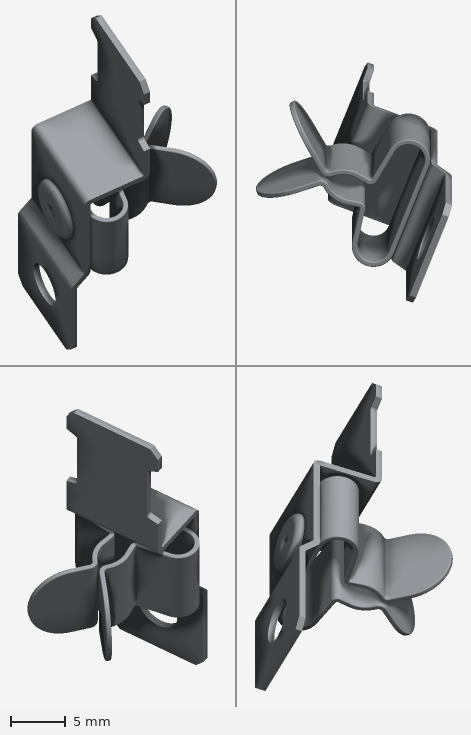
import cadquery as cq
import math


BRACKET_WIDTH = 10.0
BRACKET_THICKNESS = 0.65
BRACKET_TOP = 19.9
BRACKET_BOTTOM = -15.5
FOOT_OFFSET = 1.4
STEP_TOP = -4.07
STEP_OUTER_RADIUS = 0.9
WEB_FRONT_HEIGHT = 6.62
WEB_TILT = 1.0
TAB_BACK = 6.83
SHARP_BEND_INSIDE = 0.05
TAB_BEND_INSIDE = 0.18
CORNER_CHAMFER_X = 0.85
CORNER_CHAMFER_Z = 0.95
NECK_WIDTH = 7.6
NECK_TOP = 16.85
HEAD_UNDERSIDE = 17.35
NECK_BOTTOM = 10.73
SHOULDER_TOP = 10.4
NECK_FILLET = 0.3
FOOT_HOLE_DIAMETER = 4.2
FOOT_HOLE_Z = -10.48

CLIP_HEIGHT = 8.0
CLIP_THICKNESS = 0.5
CLIP_SPAN = 12.78
LOOP_OUTER_RADIUS = 2.0
LEG_TILT = 9.0
LEG_SHOULDER = (1.55, 7.68)
LEG_WAIST = (0.3, 9.1)
LEG_TIP_Y = 14.05
FLARE_ANGLE = 40.0
LEG_FOOT_INSIDE = 0.15
LEG_SHOULDER_OUTSIDE = 3.0
LEG_WAIST_INSIDE = 0.4
CLIP_EDGE_FILLET = 0.125
TRIM_MARGIN = 0.7

HEAD_RADIUS = 2.97
HEAD_HEIGHT = 0.75
SHANK_RADIUS = 1.5
SHANK_LENGTH = BRACKET_THICKNESS + CLIP_THICKNESS
DIMPLE_RADIUS = 1.0


def bend_stations(corners, radii):
    """Points and left normals along a path: start, then begin, middle and end of each bend, then finish."""
    points = [cq.Vector(x, y) for x, y in corners]
    directions = [(b - a).normalized() for a, b in zip(points, points[1:])]
    normals = [cq.Vector(-d.y, d.x) for d in directions]
    bends = []
    for i, radius in enumerate(radii):
        corner = points[i + 1]
        before, after = directions[i], directions[i + 1]
        side = math.copysign(1, before.x * after.y - before.y * after.x)
        setback = radius * math.tan(before.getAngle(after) / 2)
        begin = corner - before * setback
        end = corner + after * setback
        middle_normal = (normals[i] + normals[i + 1]).normalized()
        center = begin + normals[i] * (side * radius)
        middle = center - middle_normal * (side * radius)
        bends.append([(begin, normals[i]), (middle, middle_normal), (end, normals[i + 1])])
    return [(points[0], normals[0])], bends, [(points[-1], normals[-1])]


def bent_strip(plane, corners, radii, thickness, width):
    """Strip of constant thickness whose centre line follows the corners, each rounded to its radius."""
    start, bends, finish = bend_stations(corners, radii)

    def offset(stations, distance):
        return [point + normal * distance for point, normal in stations]

    def line_to(sketch, target, last):
        return sketch.lineTo(target.x, target.y) if (target - last).Length > 3.54e-07 else sketch

    half = thickness / 2
    last = offset(start, half)[0]
    sketch = cq.Workplane(plane).moveTo(last.x, last.y)
    sides = ((half, bends, finish), (-half, [bend[::-1] for bend in reversed(bends)], start))
    for distance, ordered_bends, end_station in sides:
        for bend in ordered_bends:
            begin, middle, end = offset(bend, distance)
            sketch = line_to(sketch, begin, last)
            sketch = sketch.threePointArc((middle.x, middle.y), (end.x, end.y))
            last = end
        side_end = offset(end_station, distance)[0]
        sketch = line_to(sketch, side_end, last)
        opposite = offset(end_station, -distance)[0]
        if end_station is finish:
            sketch = sketch.lineTo(opposite.x, opposite.y)
            last = opposite
    return sketch.close().extrude(width / 2, both=True)


def bracket_profile():
    half = BRACKET_THICKNESS / 2
    miter = half * math.tan(math.radians(45 / 2))
    tab_y = TAB_BACK - half
    web_slope = math.tan(math.radians(WEB_TILT))
    web_z = WEB_FRONT_HEIGHT - half
    corners = [
        (half - FOOT_OFFSET, BRACKET_BOTTOM),
        (half - FOOT_OFFSET, STEP_TOP - FOOT_OFFSET - miter),
        (half, STEP_TOP - miter),
        (half, web_z + half * web_slope),
        (tab_y, web_z + tab_y * web_slope),
        (tab_y, BRACKET_TOP),
    ]
    radii = [
        STEP_OUTER_RADIUS - half,
        STEP_OUTER_RADIUS - half,
        SHARP_BEND_INSIDE + half,
        TAB_BEND_INSIDE + half,
    ]
    return bent_strip("YZ", corners, radii, BRACKET_THICKNESS, BRACKET_WIDTH)


def bracket_outline():
    edge = BRACKET_WIDTH / 2
    neck = NECK_WIDTH / 2
    right_side = [
        (edge - CORNER_CHAMFER_X, BRACKET_BOTTOM),
        (edge, BRACKET_BOTTOM + CORNER_CHAMFER_Z),
        (edge, SHOULDER_TOP),
        (neck, NECK_BOTTOM),
        (neck, NECK_TOP),
        (edge, HEAD_UNDERSIDE),
        (edge, BRACKET_TOP - CORNER_CHAMFER_Z),
        (edge - CORNER_CHAMFER_X, BRACKET_TOP),
    ]
    left_side = [(-x, z) for x, z in reversed(right_side)]
    blank = cq.Workplane("XZ").polyline(right_side + left_side).close().extrude(2 * TAB_BACK, both=True)
    neck_box = cq.selectors.BoxSelector(
        (-neck - 0.05, -TAB_BACK, NECK_BOTTOM - 0.05), (neck + 0.05, TAB_BACK, NECK_TOP + 0.05)
    )
    return blank.edges("|Y").edges(neck_box).fillet(NECK_FILLET)


def foot_hole():
    return (
        cq.Workplane("XZ", origin=(0, 0, FOOT_HOLE_Z))
        .circle(FOOT_HOLE_DIAMETER / 2)
        .extrude(2 * FOOT_OFFSET)
    )


def rivet_hole():
    """Hole for the shank through the bracket plate and the clip base."""
    return cq.Workplane("XZ").circle(SHANK_RADIUS).extrude(-SHANK_LENGTH)


def make_bracket():
    bracket = bracket_profile().intersect(bracket_outline())
    bracket = bracket.cut(foot_hole())
    return bracket.cut(rivet_hole())


def tip_trim(tip_x):
    """Cutter that leaves a half-round end, as wide as the clip, on one flared leg."""
    radius = CLIP_HEIGHT / 2
    angle = math.radians(FLARE_ANGLE)
    along = cq.Vector(math.sin(angle), math.cos(angle), 0)
    across = cq.Vector(math.cos(angle), -math.sin(angle), 0)
    center = cq.Vector(tip_x, LEG_TIP_Y, 0) - along * radius
    outer = radius + TRIM_MARGIN
    return (
        cq.Workplane(cq.Plane(center, along, across))
        .moveTo(0, radius)
        .threePointArc((radius, 0), (0, -radius))
        .lineTo(0, -outer)
        .lineTo(outer, -outer)
        .lineTo(outer, outer)
        .lineTo(0, outer)
        .close()
        .extrude(CLIP_THICKNESS, both=True)
    )


def leg_foot(loop_back, tilt):
    """Right-angled corner between the strip from the loop and the leg down from the shoulder."""
    along_leg = cq.Vector(math.sin(tilt), math.cos(tilt))
    shoulder = cq.Vector(*LEG_SHOULDER)
    foot = shoulder + along_leg * (cq.Vector(*loop_back) - shoulder).dot(along_leg)
    return foot.x, foot.y


def make_clip():
    half = CLIP_THICKNESS / 2
    loop_radius = LOOP_OUTER_RADIUS - half
    base_y = BRACKET_THICKNESS + half
    loop_x = CLIP_SPAN / 2 - half
    tilt = math.radians(LEG_TILT)
    loop_back = (loop_x, base_y + loop_radius * (1 + math.tan((math.pi / 2 - tilt) / 2)))
    flare_slope = math.tan(math.radians(FLARE_ANGLE))
    tip_x = LEG_WAIST[0] + (LEG_TIP_Y - LEG_WAIST[1]) * flare_slope
    right_half = [
        (loop_x, base_y),
        loop_back,
        leg_foot(loop_back, tilt),
        LEG_SHOULDER,
        LEG_WAIST,
        (tip_x + half * flare_slope, LEG_TIP_Y + half),
    ]
    right_radii = [
        loop_radius,
        loop_radius,
        LEG_FOOT_INSIDE + half,
        LEG_SHOULDER_OUTSIDE - half,
        LEG_WAIST_INSIDE + half,
    ]
    left_half = [(-x, y) for x, y in reversed(right_half)]
    corners = left_half + right_half
    radii = right_radii[::-1] + right_radii
    clip = bent_strip("XY", corners, radii, CLIP_THICKNESS, CLIP_HEIGHT)
    trim = tip_trim(tip_x)
    clip = clip.cut(trim).cut(trim.mirror("YZ"))
    rims = [e for e in clip.edges("not(|Z)").vals() if abs(e.Length() - CLIP_THICKNESS) > 0.005]
    clip = clip.newObject(rims).fillet(CLIP_EDGE_FILLET)
    return clip.cut(rivet_hole())


def make_rivet():
    """Shank and head in one, with a rounded head rim and a flared dimple in the head."""
    face_y = -HEAD_HEIGHT
    face_radius = HEAD_RADIUS - HEAD_HEIGHT
    diagonal = math.sqrt(0.5)
    rim_middle = (face_radius + HEAD_HEIGHT * diagonal, face_y * diagonal)
    dimple_bottom_y = face_y + DIMPLE_RADIUS
    dimple_middle = (DIMPLE_RADIUS * (1 - diagonal), dimple_bottom_y - DIMPLE_RADIUS * diagonal)
    return (
        cq.Workplane("XY")
        .moveTo(0, dimple_bottom_y)
        .threePointArc(dimple_middle, (DIMPLE_RADIUS, face_y))
        .lineTo(face_radius, face_y)
        .threePointArc(rim_middle, (HEAD_RADIUS, 0))
        .lineTo(SHANK_RADIUS, 0)
        .lineTo(SHANK_RADIUS, SHANK_LENGTH)
        .lineTo(0, SHANK_LENGTH)
        .close()
        .revolve(360, (0, 0), (0, 1))
    )


bracket = make_bracket()
clip = make_clip()
rivet = make_rivet()

result = cq.Compound.makeCompound([bracket.val(), clip.val(), rivet.val()])